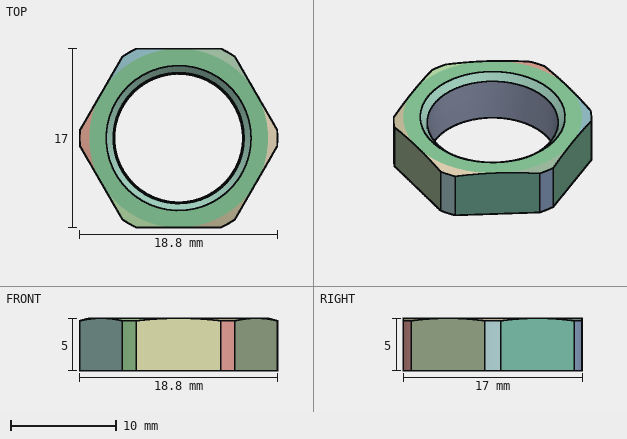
import cadquery as cq
import math

corner_diameter = 18.8
across_flats = 17.0
height = 5.0
crown_angle = 15.0

bore_diameter = 12.45
bore_bottom_diameter = 12.18
countersink_diameter = 13.76
countersink_depth = (countersink_diameter - bore_diameter) / 2

hexagon_diameter = across_flats / math.cos(math.pi / 6)
hexagon = cq.Workplane("XY").polygon(6, hexagon_diameter).extrude(height)

corner_radius = corner_diameter / 2
crown_radius = across_flats / 2
crown_drop = (corner_radius - crown_radius) * math.tan(math.radians(crown_angle))
envelope = (
    cq.Workplane("XZ")
    .moveTo(0, 0)
    .lineTo(corner_radius, 0)
    .lineTo(corner_radius, height - crown_drop)
    .lineTo(crown_radius, height)
    .lineTo(0, height)
    .close()
    .revolve(360, (0, 0, 0), (0, 1, 0))
)

bore = (
    cq.Workplane("XZ")
    .moveTo(0, 0)
    .lineTo(bore_bottom_diameter / 2, 0)
    .lineTo(bore_diameter / 2, height - countersink_depth)
    .lineTo(countersink_diameter / 2, height)
    .lineTo(0, height)
    .close()
    .revolve(360, (0, 0, 0), (0, 1, 0))
)

result = hexagon.intersect(envelope).cut(bore)